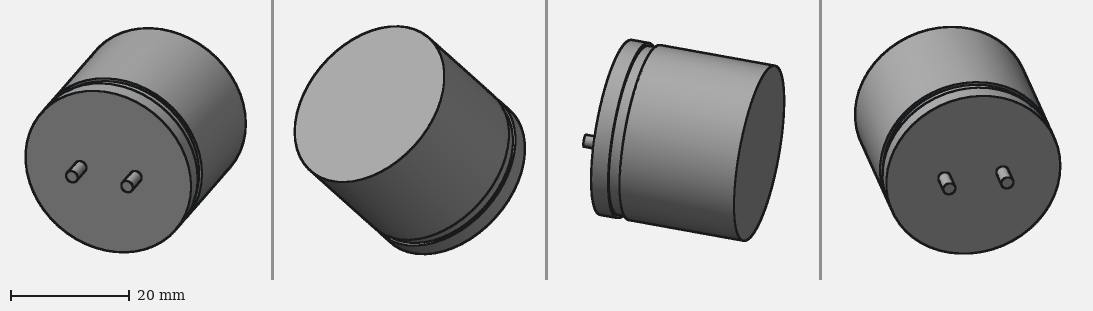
import cadquery as cq

can_diameter = 30.0
barrel_length = 20.1
groove_diameter = 29.0
groove_width = 2.0
rim_length = 3.0
can_length = rim_length + groove_width + barrel_length

pin_diameter = 2.1
pin_length = 4.0
pin_spacing = 10.0


def cylinder(diameter, length, start_y, center_x=0.0):
    """Solid cylinder running from start_y in the +Y direction."""
    return (
        cq.Workplane("XZ", origin=(center_x, start_y, 0))
        .circle(diameter / 2)
        .extrude(-length)
    )


def make_can():
    """Barrel and rim joined by the narrower neck that forms the groove."""
    neck_core = cylinder(groove_diameter, can_length, 0)
    rim = cylinder(can_diameter, rim_length, 0)
    barrel = cylinder(can_diameter, barrel_length, rim_length + groove_width)
    return neck_core.union(rim).union(barrel)


def make_pin(center_x):
    """Terminal pin whose inner end rests on the can's end face."""
    return cylinder(pin_diameter, pin_length, -pin_length, center_x)


can = make_can()
pins = [make_pin(side * pin_spacing / 2) for side in (-1, 1)]

result = cq.Compound.makeCompound([can.val(), *[pin.val() for pin in pins]])